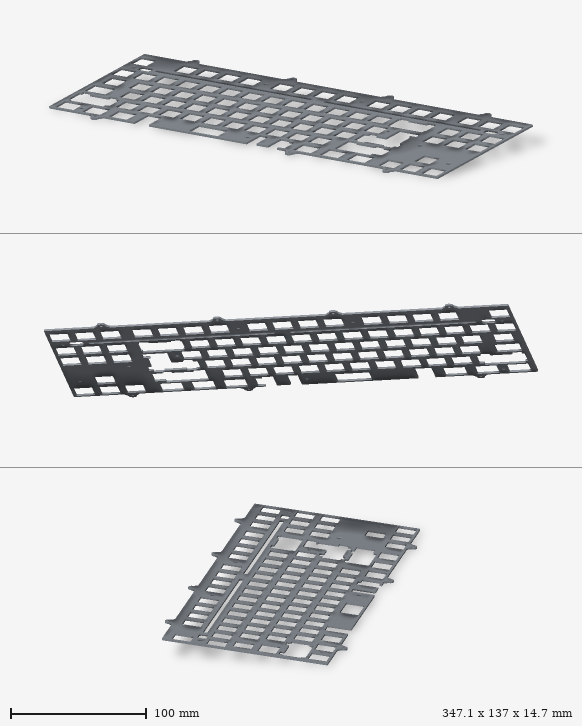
import cadquery as cq
PLATE_WIDTH = 347.14
PLATE_DEPTH = 125.0
THICKNESS = 1.5
TILT_ANGLE = 5.5
CORNER_RADIUS = 1.0

UNIT = 19.05
SWITCH = 14.0
OPENING_RADIUS = 0.5
GRID_WIDTH = 18.25 * UNIT
GRID_SHIFT = -0.06
NUMBER_ROW_Y = 22.56
FUNCTION_ROW_Y = NUMBER_ROW_Y + 25.8
TAB_ROW_Y = NUMBER_ROW_Y - UNIT
CAPS_ROW_Y = NUMBER_ROW_Y - 2 * UNIT
SHIFT_ROW_Y = NUMBER_ROW_Y - 3 * UNIT
BOTTOM_ROW_Y = NUMBER_ROW_Y - 4 * UNIT

CAPS_WIDTH = SWITCH + UNIT / 4
MODIFIER_WIDTH = SWITCH + UNIT / 8
SPACE_WIDTH = SWITCH + 5 * UNIT / 8

NAVIGATION_KEYS = [15.75, 16.75, 17.75]
UP_ARROW_KEY = 16.75
FUNCTION_KEYS = [0.5] + [first + i for first in (2.5, 7.0, 11.5) for i in range(4)]
NUMBER_KEYS = [0.5 + i for i in range(13)]
TAB_KEY = 0.75
TAB_ROW_KEYS = [2.0 + i for i in range(12)]
CAPS_KEY = 0.75
CAPS_ROW_KEYS = [2.25 + i for i in range(11)]
SHIFT_ROW_KEYS = [2.75 + i for i in range(10)]
MODIFIER_KEYS = [0.6875, 1.9375, 3.1875, 11.8125, 13.0625, 14.3125]
SPACE_KEY = 7.1875

STAB_WIDTH = 7.1
SPACE_STAB_WIDTH = 8.0
STAB_OFFSET = 11.94
STAB_NEAR = 9.0
STAB_FAR = 10.1
SPACE_6U_KEY = 6.875
SPACE_6U_STAB_OFFSET = 50.0
SPACE_7U_KEY = 7.5
SPACE_7U_STAB_OFFSET = 57.15
SHORT_SPACE_NEIGHBOUR_KEY = 10.625
TONGUE_SETBACK = 1.0

BACKSPACE_KEY = 14.0
SPLIT_BACKSPACE_KEYS = [13.5, 14.5]
LEFT_SHIFT_KEY = 1.125
SPLIT_LEFT_SHIFT_KEYS = [0.625, 1.75]
LEFT_SHIFT_RELIEF = 17.3
RIGHT_SHIFT_KEY = 13.625
SPLIT_RIGHT_SHIFT_KEYS = [13.125, 14.5]
ANSI_ENTER_KEY = 13.875
ISO_HASH_KEY = 13.25
ISO_ENTER_KEY = 14.375
ISO_ENTER_Y = (TAB_ROW_Y + CAPS_ROW_Y) / 2
ISO_WEB_REACH = 5.0

LIGHT_SLOT_X = 75.3
LIGHT_SLOT_Y = 35.8
LIGHT_SLOT_LENGTH = 139.6
LIGHT_SLOT_WIDTH = 3.2
CABLE_HOLE_X = 154.1
CABLE_HOLE_Y = 35.5
CABLE_HOLE_LENGTH = 10.6
CABLE_HOLE_WIDTH = 6.6
CABLE_HOLE_RADIUS = 2.0

SCREW_DIAMETER = 2.2
COUNTERSINK_DIAMETER = 4.4
COUNTERSINK_ANGLE = 90
SCREW_POINTS = [
    (-164.3, 35.2),
    (164.1, 35.2),
    (-55.0, 48.0),
    (30.8, 48.0),
    (123.2, -11.5),
    (164.1, -34.4),
    (-149.2, -54.0),
    (-2.6, -52.0),
]
RESET_HOLE_DIAMETER = 2.6
RESET_HOLE_POINT = (84.6, 3.4)

TAB_RADIUS = 3.2
TAB_LENGTH = 6.24
TAB_PITCH = PLATE_WIDTH / 4
TAB_REACH = TAB_LENGTH - TAB_RADIUS
TAB_BASE_WIDTH = 12.0
TAB_HOLE_DIAMETER = 2.2
REAR_TABS = [-1.5, -0.5, 0.5, 1.5]
FRONT_TABS = [-1.5, 0.5, 1.5]


def key_x(units):
    return units * UNIT - GRID_WIDTH / 2 + GRID_SHIFT


def block(left, right, bottom, top):
    """Upright box through the full plate thickness."""
    return (
        cq.Workplane("XY")
        .center((left + right) / 2, (bottom + top) / 2)
        .rect(right - left, top - bottom)
        .extrude(THICKNESS)
    )


def switch_opening(units, y, width=SWITCH):
    x = key_x(units)
    return block(x - width / 2, x + width / 2, y - SWITCH / 2, y + SWITCH / 2)


def stab_pair(units, y, below, above):
    """Two housing openings beside the centre of a wide key."""
    openings = []
    for side in (-1, 1):
        x = key_x(units) + side * STAB_OFFSET
        openings.append(block(x - STAB_WIDTH / 2, x + STAB_WIDTH / 2, y - below, y + above))
    return openings


def switch_span(units, y):
    """Opening joining the outermost of several switch positions in a row."""
    left = key_x(units[0]) - SWITCH / 2
    right = key_x(units[-1]) + SWITCH / 2
    return block(left, right, y - SWITCH / 2, y + SWITCH / 2)


def stab_web(units, y, below):
    """Opening below a wide key that joins its two housings."""
    reach = STAB_OFFSET + STAB_WIDTH / 2
    x = key_x(units)
    return block(x - reach, x + reach, y - below, y)


def rounded(blocks):
    """Join overlapping blocks into one opening with rounded corners."""
    opening = blocks[0]
    for other in blocks[1:]:
        opening = opening.union(other)
    return opening.clean().edges("|Z").fillet(OPENING_RADIUS)


def regular_openings():
    rows = [
        (FUNCTION_ROW_Y, FUNCTION_KEYS + NAVIGATION_KEYS, SWITCH),
        (NUMBER_ROW_Y, NUMBER_KEYS + NAVIGATION_KEYS, SWITCH),
        (TAB_ROW_Y, [TAB_KEY] + TAB_ROW_KEYS + NAVIGATION_KEYS, SWITCH),
        (CAPS_ROW_Y, [CAPS_KEY], CAPS_WIDTH),
        (CAPS_ROW_Y, CAPS_ROW_KEYS, SWITCH),
        (SHIFT_ROW_Y, SHIFT_ROW_KEYS + [UP_ARROW_KEY], SWITCH),
        (BOTTOM_ROW_Y, MODIFIER_KEYS, MODIFIER_WIDTH),
        (BOTTOM_ROW_Y, [SPACE_KEY], SPACE_WIDTH),
        (BOTTOM_ROW_Y, NAVIGATION_KEYS, SWITCH),
    ]
    return [rounded([switch_opening(key, y, width)]) for y, keys, width in rows for key in keys]


def backspace_opening():
    return [
        switch_span(SPLIT_BACKSPACE_KEYS, NUMBER_ROW_Y),
        stab_web(BACKSPACE_KEY, NUMBER_ROW_Y, STAB_FAR),
        *stab_pair(BACKSPACE_KEY, NUMBER_ROW_Y, STAB_FAR, STAB_NEAR),
    ]


def left_shift_opening():
    x = key_x(LEFT_SHIFT_KEY)
    return [
        switch_span(SPLIT_LEFT_SHIFT_KEYS, SHIFT_ROW_Y),
        block(x - LEFT_SHIFT_RELIEF, x, SHIFT_ROW_Y - SWITCH / 2, SHIFT_ROW_Y + SWITCH / 2),
        stab_web(LEFT_SHIFT_KEY, SHIFT_ROW_Y, STAB_FAR),
        *stab_pair(LEFT_SHIFT_KEY, SHIFT_ROW_Y, STAB_FAR, STAB_FAR),
    ]


def right_shift_opening():
    left = key_x(SPLIT_RIGHT_SHIFT_KEYS[0]) - SWITCH / 2
    left_stab_right = key_x(RIGHT_SHIFT_KEY) - STAB_OFFSET + STAB_WIDTH / 2
    return [
        switch_span(SPLIT_RIGHT_SHIFT_KEYS, SHIFT_ROW_Y),
        stab_web(RIGHT_SHIFT_KEY, SHIFT_ROW_Y, STAB_FAR),
        block(left, left_stab_right, SHIFT_ROW_Y - STAB_FAR, SHIFT_ROW_Y + STAB_NEAR),
        *stab_pair(RIGHT_SHIFT_KEY, SHIFT_ROW_Y, STAB_FAR, STAB_NEAR),
    ]


def enter_opening():
    """Overlapping openings of the wide enter key and of the tall enter key."""
    x = key_x(ISO_ENTER_KEY)
    switch_right = x + SWITCH / 2
    lower_edge = CAPS_ROW_Y - SWITCH / 2
    upper_stab_y = ISO_ENTER_Y + STAB_OFFSET
    lower_stab_y = ISO_ENTER_Y - STAB_OFFSET
    openings = [
        switch_span([ISO_HASH_KEY, ANSI_ENTER_KEY], CAPS_ROW_Y),
        *stab_pair(ANSI_ENTER_KEY, CAPS_ROW_Y, STAB_NEAR, STAB_FAR),
        block(x - STAB_NEAR, x + ISO_WEB_REACH, lower_edge, upper_stab_y),
        block(x, switch_right, CAPS_ROW_Y - STAB_NEAR, ISO_ENTER_Y + SWITCH / 2),
    ]
    for y in (upper_stab_y, lower_stab_y):
        openings.append(block(x - STAB_NEAR, x + STAB_FAR, y - STAB_WIDTH / 2, y + STAB_WIDTH / 2))
    return openings


def space_bar_notches():
    """Stabilizer notches open to the front edge."""
    top = BOTTOM_ROW_Y + STAB_NEAR
    front = -PLATE_DEPTH / 2
    half = SPACE_STAB_WIDTH / 2
    openings = [switch_opening(SHORT_SPACE_NEIGHBOUR_KEY, BOTTOM_ROW_Y)]
    stabs = [(SPACE_6U_KEY, SPACE_6U_STAB_OFFSET), (SPACE_7U_KEY, SPACE_7U_STAB_OFFSET)]
    for key, offset in stabs:
        for x in (key_x(key) - offset, key_x(key) + offset):
            openings.append(block(x - half, x + half, front, top))
    tongue_left = key_x(SPACE_6U_KEY) + SPACE_6U_STAB_OFFSET
    tongue_right = key_x(SPACE_7U_KEY) + SPACE_7U_STAB_OFFSET
    openings.append(block(tongue_left, tongue_right, front, front + TONGUE_SETBACK))
    notch_left = key_x(SHORT_SPACE_NEIGHBOUR_KEY) - SWITCH / 2
    openings.append(block(notch_left, tongue_right, front, top))
    return openings


def strip_openings():
    """Light slots and cable holes between the function and number rows."""
    light_slots = (
        cq.Workplane("XY")
        .pushPoints([(-LIGHT_SLOT_X, LIGHT_SLOT_Y), (LIGHT_SLOT_X, LIGHT_SLOT_Y)])
        .slot2D(LIGHT_SLOT_LENGTH, LIGHT_SLOT_WIDTH)
        .extrude(THICKNESS)
    )
    cable_holes = (
        cq.Workplane("XY")
        .pushPoints([(-CABLE_HOLE_X, CABLE_HOLE_Y), (CABLE_HOLE_X, CABLE_HOLE_Y)])
        .rect(CABLE_HOLE_LENGTH, CABLE_HOLE_WIDTH)
        .extrude(THICKNESS)
        .edges("|Z")
        .fillet(CABLE_HOLE_RADIUS)
    )
    return [light_slots, cable_holes]


def mounting_tab(x, side):
    """Rounded tab on the rear (side = 1) or front (side = -1) edge."""
    edge_y = side * PLATE_DEPTH / 2
    hole_y = edge_y + side * TAB_REACH
    return (
        cq.Workplane("XY")
        .moveTo(x - TAB_BASE_WIDTH / 2, edge_y)
        .lineTo(x - TAB_RADIUS, hole_y)
        .threePointArc((x, hole_y + side * TAB_RADIUS), (x + TAB_RADIUS, hole_y))
        .lineTo(x + TAB_BASE_WIDTH / 2, edge_y)
        .close()
        .extrude(THICKNESS)
    )


def plate_blank():
    blank = (
        cq.Workplane("XY")
        .rect(PLATE_WIDTH, PLATE_DEPTH)
        .extrude(THICKNESS)
        .edges("|Z")
        .fillet(CORNER_RADIUS)
    )
    hole_points = []
    for side, places in ((1, REAR_TABS), (-1, FRONT_TABS)):
        for place in places:
            x = place * TAB_PITCH
            blank = blank.union(mounting_tab(x, side))
            hole_points.append((x, side * (PLATE_DEPTH / 2 + TAB_REACH)))
    holes = (
        cq.Workplane("XY").pushPoints(hole_points).circle(TAB_HOLE_DIAMETER / 2).extrude(THICKNESS)
    )
    return blank.cut(holes)


def screw_holes(plate):
    """Countersunk screw holes and the plain reset hole."""
    plate = (
        plate.faces(">Z")
        .workplane(origin=(0, 0, THICKNESS))
        .pushPoints(SCREW_POINTS)
        .cskHole(SCREW_DIAMETER, COUNTERSINK_DIAMETER, COUNTERSINK_ANGLE)
    )
    return (
        plate.faces(">Z")
        .workplane(origin=(0, 0, THICKNESS))
        .pushPoints([RESET_HOLE_POINT])
        .hole(RESET_HOLE_DIAMETER)
    )


def cut_all(plate, openings):
    solids = [solid for opening in openings for solid in opening.solids().vals()]
    return plate.newObject([plate.val().cut(*solids)])


flat_plate = cut_all(
    plate_blank(),
    regular_openings()
    + [rounded(backspace_opening())]
    + [rounded(left_shift_opening())]
    + [rounded(right_shift_opening())]
    + [rounded(enter_opening())]
    + space_bar_notches()
    + strip_openings(),
)
flat_plate = screw_holes(flat_plate)
result = flat_plate.translate((0, 0, -THICKNESS / 2)).rotate((0, 0, 0), (1, 0, 0), TILT_ANGLE)